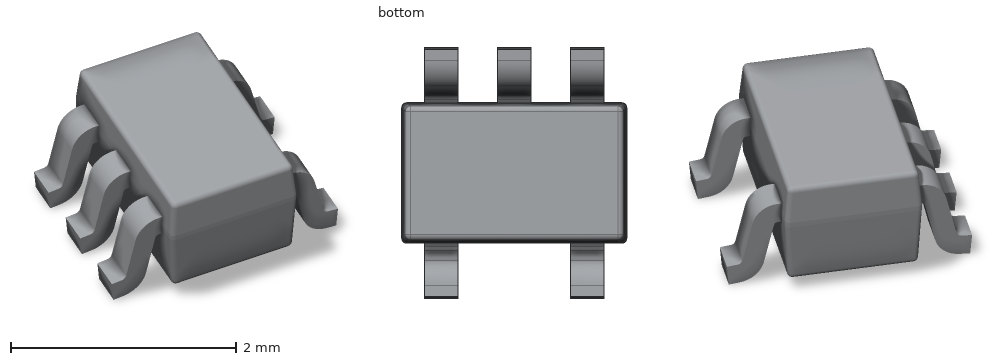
import cadquery as cq
import math

BODY_LENGTH = 2.0
BODY_WIDTH = 1.249
STANDOFF = 0.1
UPPER_HEIGHT = 0.35
BAND_HEIGHT = 0.05
LOWER_HEIGHT = 0.6
UPPER_DRAFT = 5.0
LOWER_DRAFT = 3.0
EDGE_RADIUS = 0.05

BAND_BOTTOM = STANDOFF + LOWER_HEIGHT
BAND_TOP = BAND_BOTTOM + BAND_HEIGHT

LEAD_SPAN = 2.23
LEAD_WIDTH = 0.299
LEAD_THICKNESS = 0.2
LEAD_PITCH = 0.65
UPPER_INNER_RADIUS = 0.035
UPPER_OUTER_RADIUS = UPPER_INNER_RADIUS + LEAD_THICKNESS
LOWER_INNER_RADIUS = 0.05
LOWER_OUTER_RADIUS = LOWER_INNER_RADIUS + LEAD_THICKNESS
LEG_LEAN = 13.0
FOOT_SLOPE = 5.0
FOOT_LENGTH = 0.098
LEAD_EMBED = 0.112

FRONT_COLUMNS = (-1, 0, 1)
BACK_COLUMNS = (-1, 1)


def make_block(bottom, height, draft, rim):
    """Full-size block, tapered away from its base; corner edges and the rim face's edges are rounded."""
    block = (
        cq.Workplane("XY", origin=(0, 0, bottom))
        .rect(BODY_LENGTH, BODY_WIDTH)
        .extrude(height, taper=draft)
    )
    return block.edges(f"(not #Z) or {rim}").fillet(EDGE_RADIUS)


def make_body():
    """Straight parting band between the upper and lower tapered blocks."""
    band = (
        cq.Workplane("XY", origin=(0, 0, BAND_BOTTOM))
        .rect(BODY_LENGTH, BODY_WIDTH)
        .extrude(BAND_HEIGHT)
        .edges("|Z")
        .fillet(EDGE_RADIUS)
    )
    upper = make_block(BAND_TOP, UPPER_HEIGHT, UPPER_DRAFT, ">Z")
    lower = make_block(BAND_BOTTOM, -LOWER_HEIGHT, LOWER_DRAFT, "<Z")
    return band.union(upper).union(lower)


def polar(centre, radius, degrees):
    """Point at a radius and angle from a centre."""
    angle = math.radians(degrees)
    return (centre[0] + radius * math.cos(angle), centre[1] + radius * math.sin(angle))


def make_lead():
    """One back lead, centred on X = 0; its profile is drawn as (distance outward, height)."""
    foot_normal = 90 - FOOT_SLOPE
    toe_bottom = (LEAD_SPAN / 2 - LEAD_THICKNESS * math.cos(math.radians(foot_normal)), 0)
    toe_top = polar(toe_bottom, LEAD_THICKNESS, foot_normal)
    heel_bottom = polar(toe_bottom, FOOT_LENGTH, 180 - FOOT_SLOPE)
    lower_centre = polar(heel_bottom, LOWER_OUTER_RADIUS, foot_normal)

    arm_top = BAND_BOTTOM + (BAND_HEIGHT + LEAD_THICKNESS) / 2
    arm_bottom = arm_top - LEAD_THICKNESS
    upper_centre_height = arm_top - UPPER_OUTER_RADIUS
    lean = math.radians(LEG_LEAN)
    bend_offset = UPPER_OUTER_RADIUS + LOWER_INNER_RADIUS
    drop = upper_centre_height - lower_centre[1]
    leg_length = (drop + bend_offset * math.sin(lean)) / math.cos(lean)
    reach = bend_offset * math.cos(lean) + leg_length * math.sin(lean)
    upper_centre = (lower_centre[0] - reach, upper_centre_height)

    upper_mid = (90 + LEG_LEAN) / 2
    lower_start = 180 + LEG_LEAN
    lower_end = 180 + foot_normal
    lower_mid = (lower_start + lower_end) / 2
    root = BODY_WIDTH / 2 - LEAD_EMBED

    def upper_bend(radius, angle):
        return polar(upper_centre, radius, angle)

    def lower_bend(radius, angle):
        return polar(lower_centre, radius, angle)

    profile = (
        cq.Workplane("YZ", origin=(-LEAD_WIDTH / 2, 0, 0))
        .moveTo(root, arm_top)
        .lineTo(*upper_bend(UPPER_OUTER_RADIUS, 90))
        .threePointArc(upper_bend(UPPER_OUTER_RADIUS, upper_mid), upper_bend(UPPER_OUTER_RADIUS, LEG_LEAN))
        .lineTo(*lower_bend(LOWER_INNER_RADIUS, lower_start))
        .threePointArc(lower_bend(LOWER_INNER_RADIUS, lower_mid), lower_bend(LOWER_INNER_RADIUS, lower_end))
        .lineTo(*toe_top)
        .lineTo(*toe_bottom)
        .lineTo(*heel_bottom)
        .threePointArc(lower_bend(LOWER_OUTER_RADIUS, lower_mid), lower_bend(LOWER_OUTER_RADIUS, lower_start))
        .lineTo(*upper_bend(UPPER_INNER_RADIUS, LEG_LEAN))
        .threePointArc(upper_bend(UPPER_INNER_RADIUS, upper_mid), upper_bend(UPPER_INNER_RADIUS, 90))
        .lineTo(root, arm_bottom)
        .close()
    )
    return profile.extrude(LEAD_WIDTH)


back_lead = make_lead()
front_lead = back_lead.mirror("XZ")

result = make_body()
for column in FRONT_COLUMNS:
    result = result.union(front_lead.translate((column * LEAD_PITCH, 0, 0)))
for column in BACK_COLUMNS:
    result = result.union(back_lead.translate((column * LEAD_PITCH, 0, 0)))